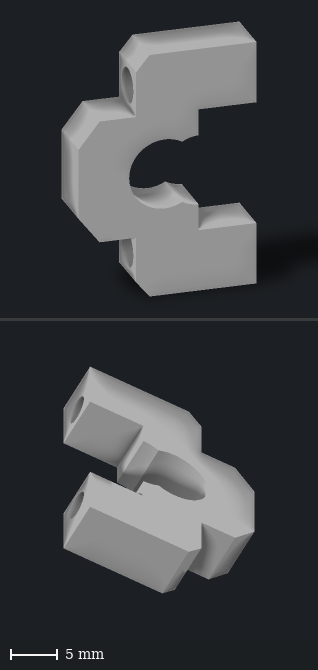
import cadquery as cq

width = 6.0
depth = 20.0
height = 28.0

nose_height = 14.0
nose_chamfer_depth = 2.35
nose_chamfer_height = 3.0
lug_front_depth = 6.47
lug_chamfer_depth = 1.5
lug_chamfer_height = 1.82
web_back_depth = 13.5

bore_diameter = 8.0
bore_center_depth = 9.7
entry_center_depth = 13.6

screw_spacing = 19.05
screw_diameter = 3.2
counterbore_diameter = 4.0

nose_y = -depth / 2
back_y = depth / 2
lug_front_y = nose_y + lug_front_depth
web_back_y = nose_y + web_back_depth
lug_depth = back_y - lug_front_y
counterbore_depth = lug_depth / 2


def clamp_body():
    """Extrude the side outline, symmetric about Z = 0, across the width."""
    top = height / 2
    nose_top = nose_height / 2
    upper = [
        (nose_y, nose_top - nose_chamfer_height),
        (nose_y + nose_chamfer_depth, nose_top),
        (lug_front_y, nose_top),
        (lug_front_y, top - lug_chamfer_height),
        (lug_front_y + lug_chamfer_depth, top),
        (back_y, top),
        (back_y, nose_top),
        (web_back_y, nose_top),
    ]
    lower = [(y, -z) for y, z in reversed(upper)]
    return cq.Workplane("YZ").polyline(upper + lower).close().extrude(width / 2, both=True)


def seat_cutter(center_y):
    """Cylinder along X that forms one of the two seat bores."""
    return (
        cq.Workplane("YZ")
        .center(center_y, 0)
        .circle(bore_diameter / 2)
        .extrude(width / 2, both=True)
    )


def screw_cutter(z):
    """Stepped hole along +Y, with its wide end at the front of the lug."""
    front = cq.Vector(0, lug_front_y, z)
    along_y = cq.Vector(0, 1, 0)
    through = cq.Solid.makeCylinder(screw_diameter / 2, lug_depth, front, along_y)
    wide = cq.Solid.makeCylinder(counterbore_diameter / 2, counterbore_depth, front, along_y)
    return through.fuse(wide)


result = clamp_body()
for center_depth in (bore_center_depth, entry_center_depth):
    result = result.cut(seat_cutter(nose_y + center_depth))
for side in (-1, 1):
    result = result.cut(screw_cutter(side * screw_spacing / 2))